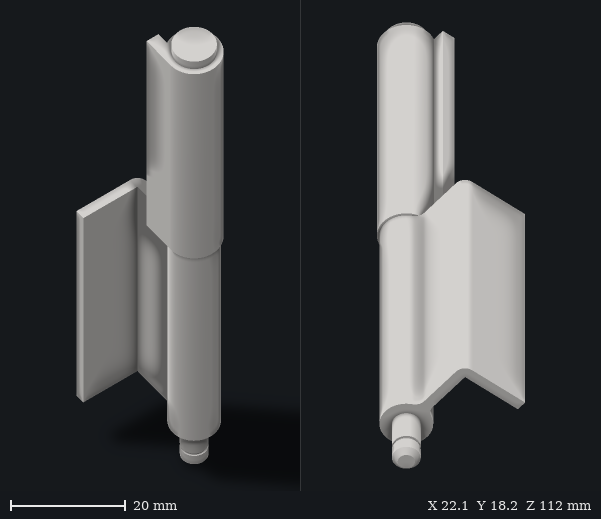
import cadquery as cq
import math

total_height = 112.0
pin_diameter = 5.0
pin_radius = pin_diameter / 2

head_diameter = 8.0
head_height = 2.0
tip_length = 10.0
tip_chamfer = 1.0
groove_top_drop = 6.0
groove_width = 0.7
groove_depth = 0.3

knuckle_length = (total_height - head_height - tip_length) / 2
lower_bottom = tip_length
upper_bottom = lower_bottom + knuckle_length
head_bottom = upper_bottom + knuckle_length

upper_radius = 5.2
tongue_thickness = 2.6
tongue_reach = 7.0

lower_radius = 4.7
plate_thickness = 2.0
plate_back_y = 0.9
plate_reach = 16.9
leg_reach = 13.0
root_fillet = 2.0


def make_knuckle(radius, bottom):
    return cq.Workplane("XY").workplane(offset=bottom).circle(radius).extrude(knuckle_length)


def bore(leaf, bottom):
    """Cut the pin bore through a knuckle."""
    return leaf.cut(make_knuckle(pin_radius, bottom)).solids()


def make_upper_leaf():
    """Knuckle with a flat tongue tangent to its front side."""
    tongue = (
        cq.Workplane("XY")
        .workplane(offset=upper_bottom)
        .moveTo(-tongue_reach, -upper_radius)
        .lineTo(0, -upper_radius)
        .lineTo(0, tongue_thickness - upper_radius)
        .lineTo(-tongue_reach, tongue_thickness - upper_radius)
        .close()
        .extrude(knuckle_length)
    )
    return bore(make_knuckle(upper_radius, upper_bottom).union(tongue), upper_bottom)


def make_lower_leaf():
    """Knuckle with an L-shaped plate, filleted where the plate meets it."""
    plate_front_y = plate_back_y - plate_thickness
    leg_inner_x = plate_thickness - plate_reach
    bend_radius = plate_thickness
    bend_mid_offset = bend_radius * (1 - math.sqrt(0.5))
    plate = (
        cq.Workplane("XY")
        .workplane(offset=lower_bottom)
        .moveTo(0, plate_back_y)
        .lineTo(bend_radius - plate_reach, plate_back_y)
        .threePointArc(
            (bend_mid_offset - plate_reach, plate_back_y - bend_mid_offset),
            (-plate_reach, plate_back_y - bend_radius),
        )
        .lineTo(-plate_reach, -leg_reach)
        .lineTo(leg_inner_x, -leg_reach)
        .lineTo(leg_inner_x, plate_front_y)
        .lineTo(0, plate_front_y)
        .close()
        .extrude(knuckle_length)
    )
    leaf = make_knuckle(lower_radius, lower_bottom).union(plate)
    middle_z = lower_bottom + knuckle_length / 2
    for root_y in (plate_back_y, plate_front_y):
        root_x = -math.sqrt(lower_radius**2 - root_y**2)
        root_edge = cq.selectors.NearestToPointSelector((root_x, root_y, middle_z))
        leaf = leaf.edges("|Z").edges(root_edge).fillet(root_fillet)
    return bore(leaf, lower_bottom)


def make_pin():
    """Headed pin with a retaining groove and a chamfered tip."""
    groove_top = tip_length - groove_top_drop
    groove_bottom = groove_top - groove_width
    groove_radius = pin_radius - groove_depth
    head_radius = head_diameter / 2
    return (
        cq.Workplane("XZ")
        .lineTo(pin_radius - tip_chamfer, 0)
        .lineTo(pin_radius, tip_chamfer)
        .lineTo(pin_radius, groove_bottom)
        .lineTo(groove_radius, groove_bottom)
        .lineTo(groove_radius, groove_top)
        .lineTo(pin_radius, groove_top)
        .lineTo(pin_radius, head_bottom)
        .lineTo(head_radius, head_bottom)
        .lineTo(head_radius, total_height)
        .lineTo(0, total_height)
        .close()
        .revolve(360, (0, 0, 0), (0, 1, 0))
    )


upper_leaf = make_upper_leaf()
lower_leaf = make_lower_leaf()
pin = make_pin()

result = cq.Compound.makeCompound([upper_leaf.val(), lower_leaf.val(), pin.val()])